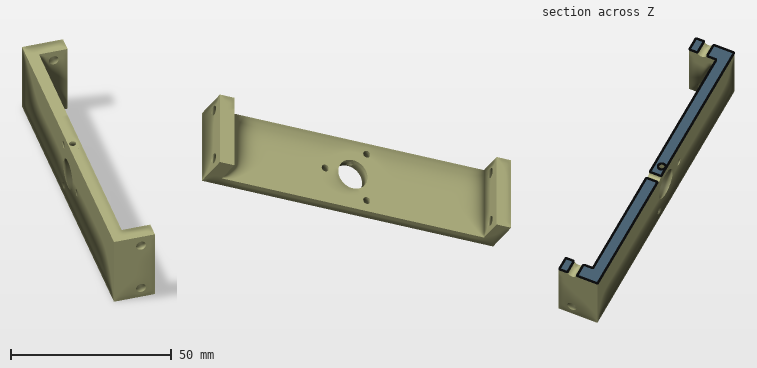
import cadquery as cq
import math

length = 100.0
depth = 13.3
height = 24.0
plate_thickness = 4.0
leg_thickness = 5.0

bore_diameter = 10.0
bolt_circle_radius = 9.5
bolt_hole_diameter = 2.4
bolt_count = 3

set_screw_diameter = 2.2
set_screw_from_front = 1.5

side_hole_diameter = 3.2
side_hole_spacing = 17.0
side_hole_from_back = 4.5


def make_channel():
    """U-shaped body: a flat plate with a leg at each end."""
    body = cq.Workplane("XY").box(length, depth, height, centered=(True, False, True))
    gap = (
        cq.Workplane("XY")
        .box(length - 2 * leg_thickness, depth - plate_thickness, height, centered=(True, False, True))
        .translate((0, plate_thickness, 0))
    )
    return body.cut(gap)


def plate_hole(x, z, diameter):
    """Cylinder through the plate along Y."""
    return cq.Workplane("XZ").center(x, z).circle(diameter / 2).extrude(-plate_thickness)


def side_hole(z):
    """Cylinder through both legs along X."""
    return (
        cq.Workplane("YZ")
        .center(depth - side_hole_from_back, z)
        .circle(side_hole_diameter / 2)
        .extrude(length / 2, both=True)
    )


result = make_channel().cut(plate_hole(0, 0, bore_diameter))

for index in range(bolt_count):
    angle = 2 * math.pi * index / bolt_count
    bolt_x = bolt_circle_radius * math.cos(angle)
    bolt_z = bolt_circle_radius * math.sin(angle)
    result = result.cut(plate_hole(bolt_x, bolt_z, bolt_hole_diameter))

for side in (-1, 1):
    result = result.cut(side_hole(side * side_hole_spacing / 2))

set_screw_hole = (
    cq.Workplane("XY")
    .center(0, set_screw_from_front)
    .circle(set_screw_diameter / 2)
    .extrude(height / 2)
)
result = result.cut(set_screw_hole)